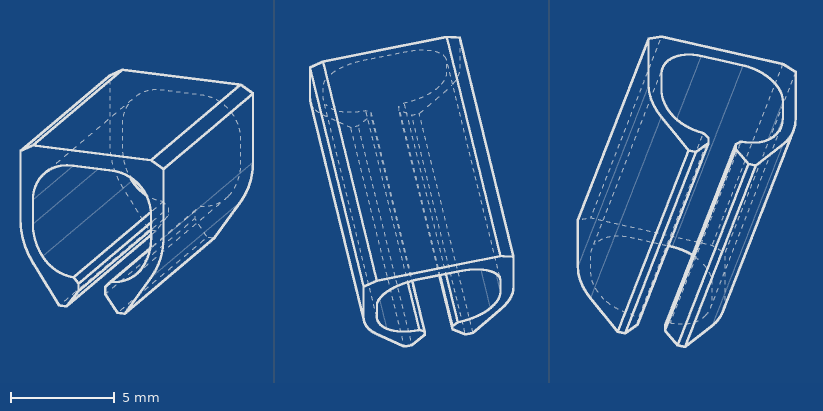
import cadquery as cq
import math

length = 12.0
width = 7.4
height = 8.0
side_wall = 0.65
top_wall = 0.78

top_bevel_drop = 0.37
side_end_z = 4.13
taper_angle = math.radians(34)
tip_outer_x = 1.69

bore_corner_radius = 2.0
flank_radius = 2.76
flank_center_z = 3.98
flank_sweep = math.radians(35)

slot_half_width = 0.68
lip_top_x = 0.95
lip_top_z = 1.54
lip_land_top_z = 1.25
lip_land_bottom_z = 0.88
tip_inner_x = 1.32

half_width = width / 2
bore_half_width = half_width - side_wall
bore_top_z = height - top_wall

corner_z = (half_width - tip_outer_x) / math.tan(taper_angle)
tangent_length = side_end_z - corner_z
taper_start_x = half_width - tangent_length * math.sin(taper_angle)
taper_start_z = corner_z - tangent_length * math.cos(taper_angle)
outer_radius = tangent_length / math.tan(taper_angle / 2)
outer_mid_x = half_width - outer_radius * (1 - math.cos(taper_angle / 2))
outer_mid_z = side_end_z - outer_radius * math.sin(taper_angle / 2)

corner_inset = bore_corner_radius * (1 - math.sqrt(0.5))


def arc_point(center, radius, angle):
    """Point on a circle in the XZ plane, with the angle measured downward from +X."""
    return (center[0] + radius * math.cos(angle), center[1] - radius * math.sin(angle))


flank_center = (bore_half_width - flank_radius, flank_center_z)
flank_mid = arc_point(flank_center, flank_radius, flank_sweep / 2)
flank_end = arc_point(flank_center, flank_radius, flank_sweep)

lip_dx = lip_top_x - flank_center[0]
lip_dz = flank_center_z - lip_top_z
lip_along_radius = lip_dx * math.cos(flank_sweep) + lip_dz * math.sin(flank_sweep)
center_shift = (flank_radius**2 - lip_dx**2 - lip_dz**2) / (2 * (flank_radius - lip_along_radius))
floor_radius = flank_radius - center_shift
floor_center = arc_point(flank_center, center_shift, flank_sweep)
floor_end_angle = math.atan2(floor_center[1] - lip_top_z, lip_top_x - floor_center[0])
floor_mid = arc_point(floor_center, floor_radius, (flank_sweep + floor_end_angle) / 2)

half_clip = (
    cq.Workplane("XZ")
    .moveTo(0, height)
    .lineTo(bore_half_width, height)
    .lineTo(half_width, height - top_bevel_drop)
    .lineTo(half_width, side_end_z)
    .threePointArc((outer_mid_x, outer_mid_z), (taper_start_x, taper_start_z))
    .lineTo(tip_outer_x, 0)
    .lineTo(tip_inner_x, 0)
    .lineTo(slot_half_width, lip_land_bottom_z)
    .lineTo(slot_half_width, lip_land_top_z)
    .lineTo(lip_top_x, lip_top_z)
    .threePointArc(floor_mid, flank_end)
    .threePointArc(flank_mid, (bore_half_width, flank_center_z))
    .lineTo(bore_half_width, bore_top_z - bore_corner_radius)
    .threePointArc(
        (bore_half_width - corner_inset, bore_top_z - corner_inset),
        (bore_half_width - bore_corner_radius, bore_top_z),
    )
    .lineTo(0, bore_top_z)
    .close()
    .extrude(length / 2, both=True)
)

result = half_clip.union(half_clip.mirror("YZ")).clean()